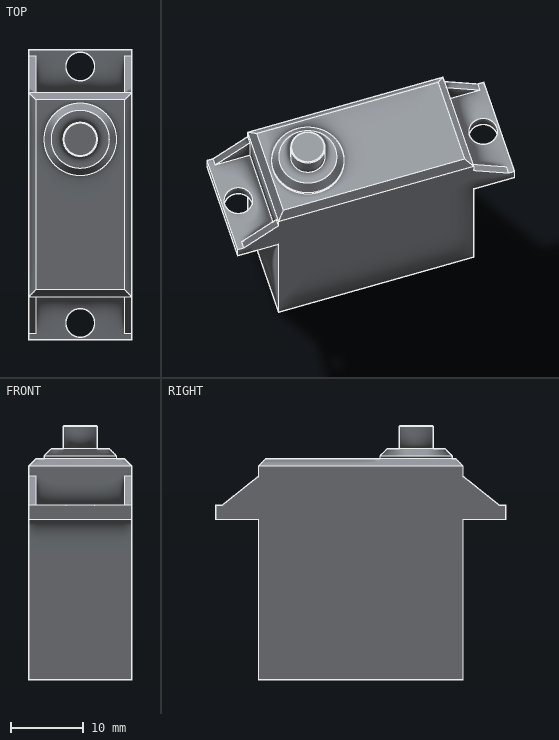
import cadquery as cq

width = 14.25
case_length = 28.2
case_height = 30.5
case_chamfer = 1.0

overall_length = 40
ear_bottom = 22.1
ear_thickness = 2
ear_top = ear_bottom + ear_thickness
hole_diameter = 3.9
hole_spacing = 35.35

gusset_thickness = 1.0
gusset_height = 4
gusset_setback = 0.9

overall_height = 35.05
shaft_offset = 7.65
shaft_diameter = 4.7
shaft_chamfer = 0.1
collar_diameter = 10
collar_height = 1.4
collar_chamfer = 1.0


def make_case():
    case = cq.Workplane("XY").box(width, case_length, case_height, centered=(True, True, False))
    return case.faces(">Z").edges().chamfer(case_chamfer)


def make_ears():
    plate = cq.Workplane("XY").workplane(offset=ear_bottom)
    plate = plate.box(width, overall_length, ear_thickness, centered=(True, True, False))
    return plate.faces(">Z").workplane().pushPoints(
        [(0, -hole_spacing / 2), (0, hole_spacing / 2)]
    ).hole(hole_diameter)


def make_gussets(x_start):
    """Gussets on both ears, joined through the case, starting at x_start."""
    foot = overall_length / 2 - gusset_setback
    wall = case_length / 2
    gusset_top = ear_top + gusset_height
    outline = [(-foot, ear_top), (foot, ear_top), (wall, gusset_top), (-wall, gusset_top)]
    return cq.Workplane("YZ", origin=(x_start, 0, 0)).polyline(outline).close().extrude(gusset_thickness)


def make_output():
    base = cq.Workplane("XY", origin=(0, shaft_offset, case_height))
    collar = base.circle(collar_diameter / 2).extrude(collar_height)
    collar = collar.faces(">Z").edges().chamfer(collar_chamfer)
    shaft = base.circle(shaft_diameter / 2).extrude(overall_height - case_height)
    shaft = shaft.faces(">Z").edges().chamfer(shaft_chamfer)
    return collar.union(shaft)


result = make_case().union(make_ears())
for x_start in (-width / 2, width / 2 - gusset_thickness):
    result = result.union(make_gussets(x_start))
result = result.union(make_output())